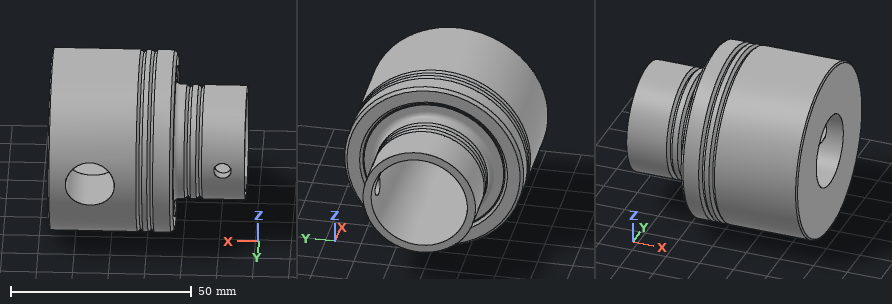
import cadquery as cq

length = 54.3
body_radius = 50.8 / 2
tube_radius = 31.9 / 2
body_start = 19.55
front_chamfer = 0.85
rear_chamfer = 0.45

recess_radius = 40.35 / 2
recess_chamfer = 0.75
recess_groove_bottom = body_start + recess_chamfer
recess_floor = 19.95
recess_floor_radius = 19.8
foot_fillet = 1.65

groove_depth = 0.8
tube_groove_centers = (12.7, 15.95)
body_groove_centers = (25.9, 28.95)

mouth_radius = 13.65
bore_radius = 10.5
taper_length = 34.75

tube_hole_diameter = 4.7
tube_hole_x = 6.1
body_hole_diameter = 13.6
body_hole_x = 42.55


def turned_blank():
    """Stepped solid with the shoulder recess, foot fillet and edge chamfers."""
    profile = (
        cq.Workplane("XY")
        .lineTo(0, tube_radius)
        .lineTo(recess_floor - foot_fillet, tube_radius)
        .radiusArc((recess_floor, tube_radius + foot_fillet), -foot_fillet)
        .lineTo(recess_floor, recess_floor_radius)
        .lineTo(recess_groove_bottom, recess_floor_radius)
        .lineTo(recess_groove_bottom, recess_radius)
        .lineTo(body_start, recess_radius + recess_chamfer)
        .lineTo(body_start, body_radius - front_chamfer)
        .lineTo(body_start + front_chamfer, body_radius)
        .lineTo(length - rear_chamfer, body_radius)
        .lineTo(length, body_radius - rear_chamfer)
        .lineTo(length, 0)
        .close()
    )
    return profile.revolve(360, (0, 0, 0), (1, 0, 0))


def v_groove(center, surface_radius):
    """Ring with a 90 degree V section, cut into a cylindrical surface."""
    overshoot = 0.55
    half_width = groove_depth + overshoot
    section = cq.Workplane("XY").polyline([
        (center, surface_radius - groove_depth),
        (center - half_width, surface_radius + overshoot),
        (center + half_width, surface_radius + overshoot),
    ]).close()
    return section.revolve(360, (0, 0, 0), (1, 0, 0))


def bore():
    """Cone from the tube mouth followed by the straight through bore."""
    section = cq.Workplane("XY").polyline([
        (0, 0),
        (0, mouth_radius),
        (taper_length, bore_radius),
        (length, bore_radius),
        (length, 0),
    ]).close()
    return section.revolve(360, (0, 0, 0), (1, 0, 0))


def radial_hole(x, diameter):
    """Cylinder from the axis out through the +Y side."""
    start = cq.Vector(x, 0, 0)
    return cq.Solid.makeCylinder(diameter / 2, body_radius, start, cq.Vector(0, 1, 0))


result = turned_blank()
for groove_center in tube_groove_centers:
    result = result.cut(v_groove(groove_center, tube_radius))
for groove_center in body_groove_centers:
    result = result.cut(v_groove(groove_center, body_radius))
result = result.cut(bore())
result = result.cut(radial_hole(tube_hole_x, tube_hole_diameter))
result = result.cut(radial_hole(body_hole_x, body_hole_diameter))